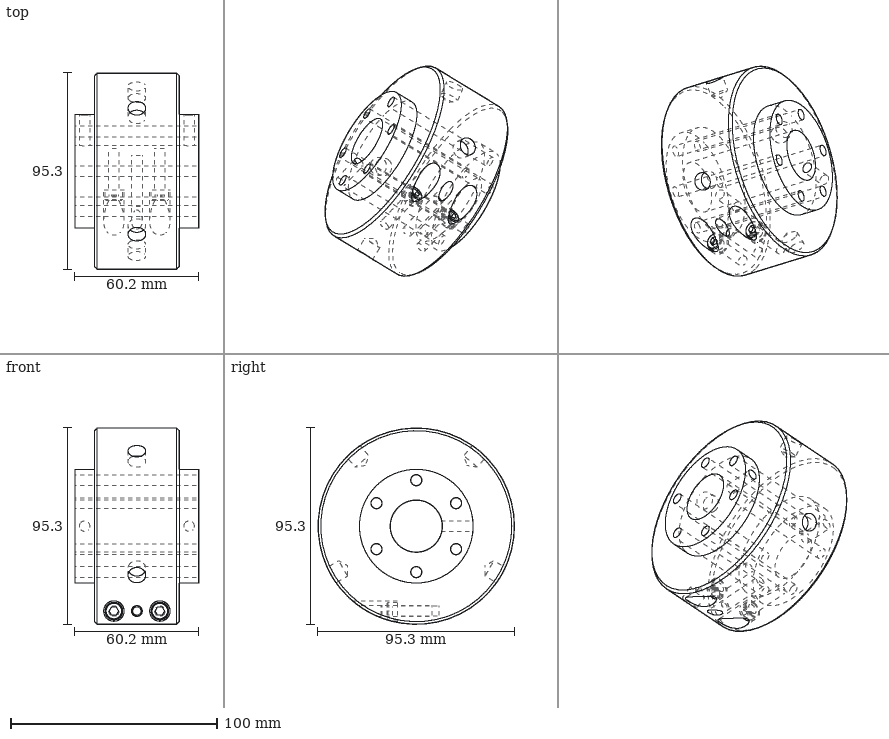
import cadquery as cq
import math

disc_diameter = 95.25
disc_width = 41.15
disc_chamfer = 1.3
hub_diameter = 55.15
overall_width = 60.2
bore_diameter = 25.1

bolt_hole_count = 6
bolt_hole_diameter = 5.2
bolt_circle_diameter = 44.6

set_hole_diameter = 5.05

rim_hole_diameter = 8.6
rim_hole_depth = 6.7
rim_hole_point_angle = 118.0
rim_hole_angles = (50.0, 130.0, -30.0, 210.0)

fastener_height = -41.15
screw_spacing = 22.3
screw_head_diameter = 8.5
screw_head_length = 5.05
screw_head_chamfer = 0.5
screw_shank_diameter = 5.05
screw_shank_length = 20.0
hex_across_flats = 4.0
hex_depth = 2.5
counterbore_diameter = 9.9
counterbore_floor = -9.05

pin_diameter = 5.2
pin_length = 24.8
pin_chamfer = 0.6
pin_start = -17.1

disc_radius = disc_diameter / 2
hub_radius = hub_diameter / 2
hub_length = (overall_width - disc_width) / 2
hub_center = (overall_width - hub_length) / 2
screw_positions = (-screw_spacing / 2, screw_spacing / 2)


def x_cylinder(diameter, width):
    """Cylinder on the X axis, centred on the origin."""
    start = cq.Workplane("YZ", origin=(-width / 2, 0, 0))
    return start.circle(diameter / 2).extrude(width)


def y_cylinder(x, y_start, diameter, length):
    """Cylinder at the fastener height, running toward +Y from y_start."""
    plane = cq.Plane(origin=(x, y_start, fastener_height), xDir=(1, 0, 0), normal=(0, 1, 0))
    return cq.Workplane(plane).circle(diameter / 2).extrude(length)


def rim_hole_cutter(angle):
    """Drill shape with a conical tip, entering the rim radially at the given angle."""
    radius = rim_hole_diameter / 2
    shoulder = disc_radius - rim_hole_depth
    tip = shoulder - radius / math.tan(math.radians(rim_hole_point_angle / 2))
    profile = [(0, tip), (radius, shoulder), (radius, disc_radius + radius), (0, disc_radius + radius)]
    drill = cq.Workplane("XY").polyline(profile).close().revolve(360, (0, 0), (0, 1))
    return drill.rotate((0, 0, 0), (1, 0, 0), angle)


def set_hole_cutter(x):
    """Hole running from the bore out through the +Y hub wall."""
    plane = cq.Plane(origin=(x, 0, 0), xDir=(1, 0, 0), normal=(0, 1, 0))
    return cq.Workplane(plane).circle(set_hole_diameter / 2).extrude(hub_radius)


def make_housing():
    housing = x_cylinder(disc_diameter, disc_width).edges().chamfer(disc_chamfer)
    housing = housing.union(x_cylinder(hub_diameter, overall_width))

    housing = housing.cut(x_cylinder(bore_diameter, overall_width))
    bolt_holes = (
        cq.Workplane("YZ", origin=(-overall_width / 2, 0, 0))
        .polarArray(bolt_circle_diameter / 2, 90, 360, bolt_hole_count)
        .circle(bolt_hole_diameter / 2)
        .extrude(overall_width)
    )
    housing = housing.cut(bolt_holes)

    for angle in rim_hole_angles:
        housing = housing.cut(rim_hole_cutter(angle))
    for x in (-hub_center, hub_center):
        housing = housing.cut(set_hole_cutter(x))

    for x in screw_positions:
        housing = housing.cut(y_cylinder(x, -disc_radius, counterbore_diameter, disc_radius + counterbore_floor))
        housing = housing.cut(y_cylinder(x, counterbore_floor, screw_shank_diameter, screw_shank_length))

    pin_end = pin_start + pin_length
    return housing.cut(y_cylinder(0, -disc_radius, pin_diameter, disc_radius + pin_end))


def make_screw(x):
    """Socket head cap screw seated on the counterbore floor."""
    head_top = counterbore_floor - screw_head_length
    head = y_cylinder(x, head_top, screw_head_diameter, screw_head_length)
    head = head.faces("<Y").chamfer(screw_head_chamfer)
    plane = cq.Plane(origin=(x, head_top, fastener_height), xDir=(1, 0, 0), normal=(0, 1, 0))
    hex_across_corners = hex_across_flats / math.cos(math.pi / 6)
    socket = cq.Workplane(plane).polygon(6, hex_across_corners).extrude(hex_depth)
    shank = y_cylinder(x, counterbore_floor, screw_shank_diameter, screw_shank_length)
    return head.cut(socket).union(shank)


def make_pin():
    pin = y_cylinder(0, pin_start, pin_diameter, pin_length)
    return pin.faces("<Y").chamfer(pin_chamfer)


housing = make_housing()
screws = [make_screw(x) for x in screw_positions]
pin = make_pin()

result = cq.Compound.makeCompound([housing.val(), *[screw.val() for screw in screws], pin.val()])